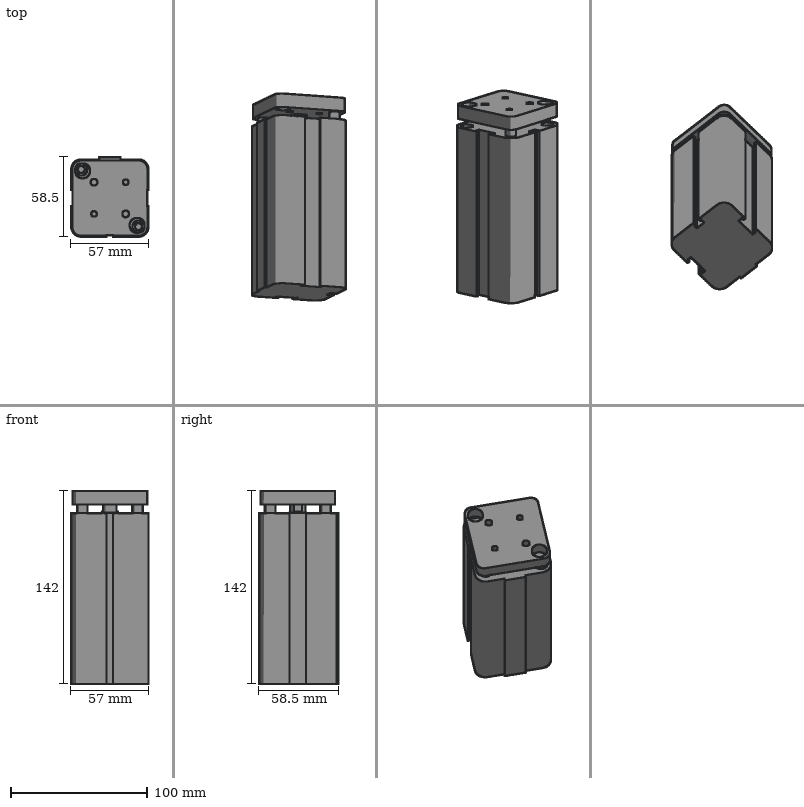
import cadquery as cq

TOTAL_HEIGHT = 142.0
PLATE_THICKNESS = 10.1
STROKE_GAP = 6.2
PLATE_BOTTOM = TOTAL_HEIGHT - PLATE_THICKNESS
HOUSING_HEIGHT = PLATE_BOTTOM - STROKE_GAP

HOUSING_WIDTH = 57.0
HOUSING_CORNER_RADIUS = 7.8
RIB_WIDTH = 15.8
RIB_HEIGHT = 1.5

SLOT_LIP = 2.0
SLOT_DEPTH = 5.0
SIDE_SLOT_OPENING = 11.9
SIDE_SLOT_INNER = 15.5
FRONT_SLOT_OPENING = 5.0
FRONT_SLOT_INNER = 7.0

MOUNT_OFFSET = 21.0
MOUNT_HOLE_DIAMETER = 5.3
MOUNT_BORE_DIAMETER = 9.0
MOUNT_BORE_DEPTH = 5.7
MOUNT_HOLE_DEPTH = 17.0

PLATE_WIDTH = 55.0
PLATE_CORNER_RADIUS = 5.5
ACCESS_HOLE_DIAMETER = 11.1
ACCESS_HOLE_OFFSET = 20.0
TOOL_HOLE_OFFSET = 11.6
LARGE_TOOL_HOLE_DIAMETER = 5.0
SMALL_TOOL_HOLE_DIAMETER = 4.1

ROD_DIAMETER = 11.6
ROD_FLAT_WIDTH = 10.1
COLLAR_DIAMETER = 12.0
COLLAR_HEIGHT = 0.5
FLAT_START = 1.1
PIN_DIAMETER = 8.0
PIN_OFFSET = 20.3


def rising_diagonal(offset):
    """The two corner positions at (-X, -Y) and (+X, +Y)."""
    return [(-offset, -offset), (offset, offset)]


def falling_diagonal(offset):
    """The two corner positions at (-X, +Y) and (+X, -Y)."""
    return [(-offset, offset), (offset, -offset)]


def rounded_block(width, corner_radius, height):
    """Square block standing on Z = 0 with rounded vertical edges."""
    block = cq.Workplane("XY").rect(width, width).extrude(height)
    return block.edges("|Z").fillet(corner_radius)


def t_slot(opening, inner, angle):
    """Full-height T-slot cutter in the -Y face, turned about Z by the given angle."""
    face = -HOUSING_WIDTH / 2
    lip_end = face + SLOT_LIP
    floor = face + SLOT_DEPTH
    outline = [
        (-opening / 2, face),
        (-opening / 2, lip_end),
        (-inner / 2, lip_end),
        (-inner / 2, floor),
        (inner / 2, floor),
        (inner / 2, lip_end),
        (opening / 2, lip_end),
        (opening / 2, face),
    ]
    cutter = cq.Workplane("XY").polyline(outline).close().extrude(HOUSING_HEIGHT)
    return cutter.rotate((0, 0, 0), (0, 0, 1), angle)


def make_housing():
    """Long cylinder housing with a rib, three T-slots and two mounting holes."""
    body = rounded_block(HOUSING_WIDTH, HOUSING_CORNER_RADIUS, HOUSING_HEIGHT)

    rib = (
        cq.Workplane("XY")
        .center(0, HOUSING_WIDTH / 2)
        .rect(RIB_WIDTH, 2 * RIB_HEIGHT)
        .extrude(HOUSING_HEIGHT)
    )
    body = body.union(rib)

    body = body.cut(t_slot(FRONT_SLOT_OPENING, FRONT_SLOT_INNER, 0))
    for angle in (-90, 90):
        body = body.cut(t_slot(SIDE_SLOT_OPENING, SIDE_SLOT_INNER, angle))

    return (
        body.faces(">Z")
        .workplane(origin=(0, 0, HOUSING_HEIGHT))
        .pushPoints(falling_diagonal(MOUNT_OFFSET))
        .cboreHole(MOUNT_HOLE_DIAMETER, MOUNT_BORE_DIAMETER, MOUNT_BORE_DEPTH, MOUNT_HOLE_DEPTH)
    )


def make_plate():
    """Tool plate with its access holes and tool holes, all passing through."""
    plate = rounded_block(PLATE_WIDTH, PLATE_CORNER_RADIUS, PLATE_THICKNESS)
    hole_pairs = [
        (falling_diagonal(ACCESS_HOLE_OFFSET), ACCESS_HOLE_DIAMETER),
        (falling_diagonal(TOOL_HOLE_OFFSET), LARGE_TOOL_HOLE_DIAMETER),
        (rising_diagonal(TOOL_HOLE_OFFSET), SMALL_TOOL_HOLE_DIAMETER),
    ]
    for points, diameter in hole_pairs:
        holes = cq.Workplane("XY").pushPoints(points).circle(diameter / 2).extrude(PLATE_THICKNESS)
        plate = plate.cut(holes)
    return plate.translate((0, 0, PLATE_BOTTOM))


def make_rod():
    """Piston rod with a low collar at its foot and two wrench flats above a round shoulder."""
    shoulder = cq.Workplane("XY").circle(ROD_DIAMETER / 2).extrude(FLAT_START)
    flat_bar = cq.Workplane("XY").rect(ROD_FLAT_WIDTH, ROD_DIAMETER).extrude(STROKE_GAP)
    neck = cq.Workplane("XY").circle(ROD_DIAMETER / 2).extrude(STROKE_GAP).intersect(flat_bar)
    collar = cq.Workplane("XY").circle(COLLAR_DIAMETER / 2).extrude(COLLAR_HEIGHT)
    return neck.union(shoulder).union(collar).translate((0, 0, HOUSING_HEIGHT))


def make_slide():
    """Moving part: the tool plate carried by the rod and two guide pins."""
    pins = (
        cq.Workplane("XY", origin=(0, 0, HOUSING_HEIGHT))
        .pushPoints(rising_diagonal(PIN_OFFSET))
        .circle(PIN_DIAMETER / 2)
        .extrude(STROKE_GAP)
    )
    return make_plate().union(make_rod()).union(pins)


housing = make_housing()
slide = make_slide()

result = cq.Compound.makeCompound([housing.val(), slide.val()])